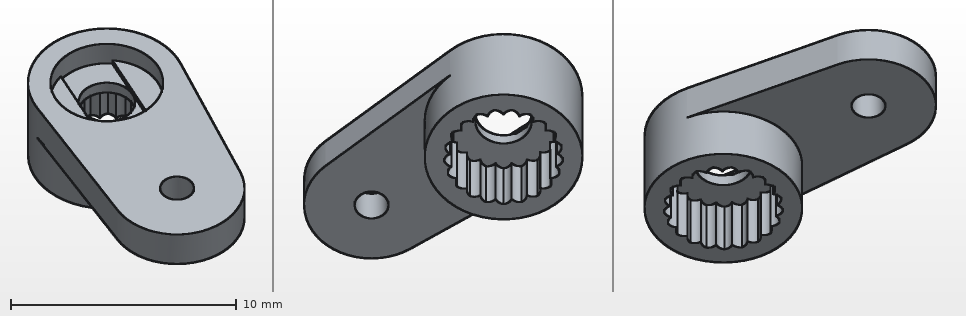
import cadquery as cq
import math

hub_radius = 3.5
tip_radius = 3.0
length = 14.0
tip_x = length - hub_radius - tip_radius
height = 4.4
arm_thickness = 1.8
tip_hole_diameter = 1.5

recess_diameter = 5.0
recess_depth = 1.0
hub_hole_diameter = 2.5
slot_width = hub_hole_diameter
slot_depth = 0.2
web_thickness = 0.6

lobe_count = 21
ridge_radius = 2.38
lobe_tip_radius = 2.65
flank_radius = 0.48
socket_depth = height - recess_depth - slot_depth - web_thickness


def tangent_plate():
    """Arm outline: two round ends joined by their common outer tangents."""
    slope = (hub_radius - tip_radius) / tip_x
    rise = math.sqrt(1 - slope**2)
    hub_tangent = (hub_radius * slope, hub_radius * rise)
    tip_tangent = (tip_x + tip_radius * slope, tip_radius * rise)
    return (
        cq.Workplane("XY", origin=(0, 0, height - arm_thickness))
        .moveTo(*hub_tangent)
        .lineTo(*tip_tangent)
        .threePointArc((tip_x + tip_radius, 0), (tip_tangent[0], -tip_tangent[1]))
        .lineTo(hub_tangent[0], -hub_tangent[1])
        .threePointArc((-hub_radius, 0), hub_tangent)
        .close()
        .extrude(arm_thickness)
    )


def cylinder(diameter, bottom, top, x=0.0):
    """Upright cylinder between two heights."""
    return cq.Workplane("XY", origin=(x, 0, bottom)).circle(diameter / 2).extrude(top - bottom)


def slotted_recess():
    """Round top recess with a shallow slot along X across its floor."""
    recess_floor = height - recess_depth
    slot_floor = recess_floor - slot_depth
    slot = (
        cq.Workplane("XY", origin=(0, 0, slot_floor))
        .rect(recess_diameter, slot_width)
        .extrude(slot_depth)
        .intersect(cylinder(recess_diameter, slot_floor, recess_floor))
    )
    return cylinder(recess_diameter, recess_floor, height).union(slot)


def polar_point(radius, angle):
    """Point at a radius and an angle in radians around the hub axis."""
    return (radius * math.cos(angle), radius * math.sin(angle))


def splined_socket():
    """Ring of pointed lobes, each with two arc flanks meeting at its tip."""
    half_pitch = math.pi / lobe_count
    outline = cq.Workplane("XY").moveTo(*polar_point(ridge_radius, -half_pitch))
    for lobe in range(lobe_count):
        tip_angle = 2 * half_pitch * lobe
        outline = outline.radiusArc(polar_point(lobe_tip_radius, tip_angle), -flank_radius)
        outline = outline.radiusArc(polar_point(ridge_radius, tip_angle + half_pitch), -flank_radius)
    return outline.close().extrude(socket_depth)


body = cylinder(2 * hub_radius, 0, height).union(tangent_plate())
result = (
    body.cut(slotted_recess())
    .cut(cylinder(hub_hole_diameter, 0, height))
    .cut(splined_socket())
    .cut(cylinder(tip_hole_diameter, height - arm_thickness, height, tip_x))
)